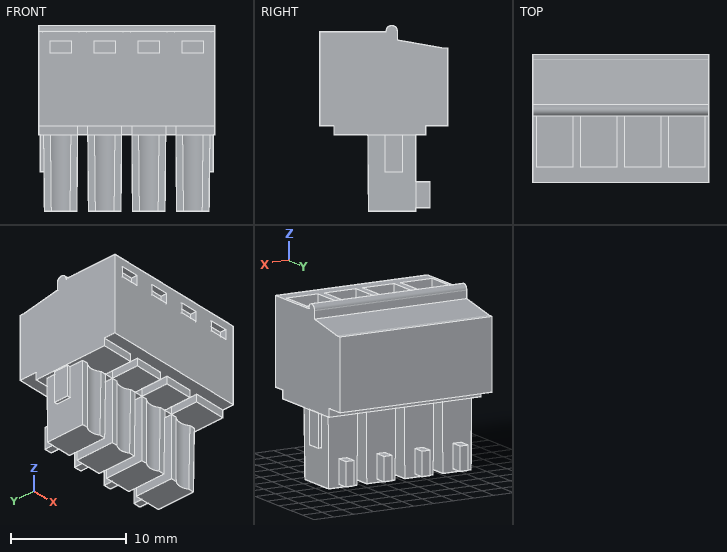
import cadquery as cq

POLE_COUNT = 4
LENGTH = 15.25
DEPTH = 11.1
HEIGHT = 16.1
PITCH = LENGTH / POLE_COUNT
POLE_X = [(i - (POLE_COUNT - 1) / 2) * PITCH for i in range(POLE_COUNT)]
FRONT_Y = -DEPTH / 2
BACK_Y = DEPTH / 2

BASE_Z = 6.62
BODY_Z = 7.4
TOP_Z = 15.57
BASE_FRONT_Y = -4.31
BASE_BACK_Y = 3.65
BACK_EDGE_Z = 14.15
BACK_LEDGE = 0.43
SLOPE_END_Z = 14.85
BEAD_RADIUS = 0.5
BEAD_FRONT_Y = 0.2
BEAD_BACK_Y = BEAD_FRONT_Y + 2 * BEAD_RADIUS
BEAD_AXIS_Z = HEIGHT - BEAD_RADIUS

POCKET_WIDTH = 3.14
POCKET_FRONT_WALL = 1.35
POCKET_FRONT_Y = FRONT_Y + POCKET_FRONT_WALL
POCKET_DEPTH = 0.98

WINDOW_WIDTH = 1.85
WINDOW_BOTTOM_Z = 13.72
WINDOW_TOP_Z = 14.75
WINDOW_DEPTH = 0.65

PRONG_WIDTH = 2.95
PRONG_FRONT_Y = -1.38
PRONG_BACK_Y = 2.79
PRONG_TAPER = 0.056
GROOVE_RADIUS = 1.37
GROOVE_DEPTH = 0.32

LATCH_BACK_Y = 4.01
LATCH_BOTTOM_Z = 0.3
LATCH_TOP_Z = 2.58
LATCH_WIDTH = 0.8

KEY_OUTER_X = 7.5
KEY_FRONT_Y = 0.1
KEY_BACK_Y = 1.63
KEY_BOTTOM_Z = 3.43

NOTCH_WIDTH = PITCH - PRONG_WIDTH
NOTCH_BACK_Y = PRONG_FRONT_Y


def box_between(x_range, y_range, z_range):
    """Axis-aligned box from its limits along each axis."""
    (x0, x1), (y0, y1), (z0, z1) = x_range, y_range, z_range
    return cq.Workplane("XY").box(x1 - x0, y1 - y0, z1 - z0, centered=False).translate((x0, y0, z0))


def centred_range(centre, width):
    return (centre - width / 2, centre + width / 2)


def housing_block():
    """Side profile with the stepped base, sloped back and rounded bead, extruded along X."""
    return (
        cq.Workplane("YZ")
        .moveTo(BASE_FRONT_Y, BASE_Z)
        .lineTo(BASE_BACK_Y, BASE_Z)
        .lineTo(BASE_BACK_Y, BODY_Z)
        .lineTo(BACK_Y, BODY_Z)
        .lineTo(BACK_Y, BACK_EDGE_Z)
        .lineTo(BACK_Y - BACK_LEDGE, BACK_EDGE_Z)
        .lineTo(BEAD_BACK_Y, SLOPE_END_Z)
        .lineTo(BEAD_BACK_Y, BEAD_AXIS_Z)
        .threePointArc((BEAD_BACK_Y - BEAD_RADIUS, HEIGHT), (BEAD_FRONT_Y, BEAD_AXIS_Z))
        .lineTo(BEAD_FRONT_Y, TOP_Z)
        .lineTo(FRONT_Y, TOP_Z)
        .lineTo(FRONT_Y, BODY_Z)
        .lineTo(BASE_FRONT_Y, BODY_Z)
        .close()
        .extrude(LENGTH / 2, both=True)
    )


def make_housing():
    housing = housing_block()
    for x in POLE_X:
        pocket = box_between(
            centred_range(x, POCKET_WIDTH),
            (POCKET_FRONT_Y, BEAD_FRONT_Y),
            (TOP_Z - POCKET_DEPTH, TOP_Z),
        )
        window = box_between(
            centred_range(x, WINDOW_WIDTH),
            (FRONT_Y, FRONT_Y + WINDOW_DEPTH),
            (WINDOW_BOTTOM_Z, WINDOW_TOP_Z),
        )
        housing = housing.cut(pocket).cut(window)
    for x in POLE_X[:-1]:
        notch = box_between(
            centred_range(x + PITCH / 2, NOTCH_WIDTH),
            (BASE_FRONT_Y, NOTCH_BACK_Y),
            (BASE_Z, BODY_Z),
        )
        housing = housing.cut(notch)
    return housing


def prong_shank():
    """Tapered block with a round vertical groove in its front face, centred on X = 0."""
    tip_width = PRONG_WIDTH - 2 * PRONG_TAPER
    top_depth = PRONG_BACK_Y - PRONG_FRONT_Y
    tip_depth = top_depth - PRONG_TAPER
    shank = (
        cq.Workplane("XY")
        .center(0, PRONG_BACK_Y - tip_depth / 2)
        .rect(tip_width, tip_depth)
        .workplane(offset=BASE_Z)
        .center(0, -PRONG_TAPER / 2)
        .rect(PRONG_WIDTH, top_depth)
        .loft(ruled=True)
    )
    groove_axis_y = PRONG_FRONT_Y + GROOVE_DEPTH - GROOVE_RADIUS
    groove = cq.Workplane("XY").center(0, groove_axis_y).circle(GROOVE_RADIUS).extrude(BASE_Z)
    return shank.cut(groove)


def make_prong(x):
    """One prong at pole position x; the two end prongs also carry an outer key."""
    latch = box_between(
        centred_range(0, LATCH_WIDTH),
        (PRONG_BACK_Y, LATCH_BACK_Y),
        (LATCH_BOTTOM_Z, LATCH_TOP_Z),
    )
    prong = prong_shank().union(latch).translate((x, 0, 0))
    if x in (POLE_X[0], POLE_X[-1]):
        key_x_range = sorted((x, KEY_OUTER_X if x > 0 else -KEY_OUTER_X))
        key = box_between(key_x_range, (KEY_FRONT_Y, KEY_BACK_Y), (KEY_BOTTOM_Z, BASE_Z))
        prong = prong.union(key)
    return prong


housing = make_housing()
prongs = [make_prong(x) for x in POLE_X]

result = cq.Compound.makeCompound([housing.val(), *[prong.val() for prong in prongs]])